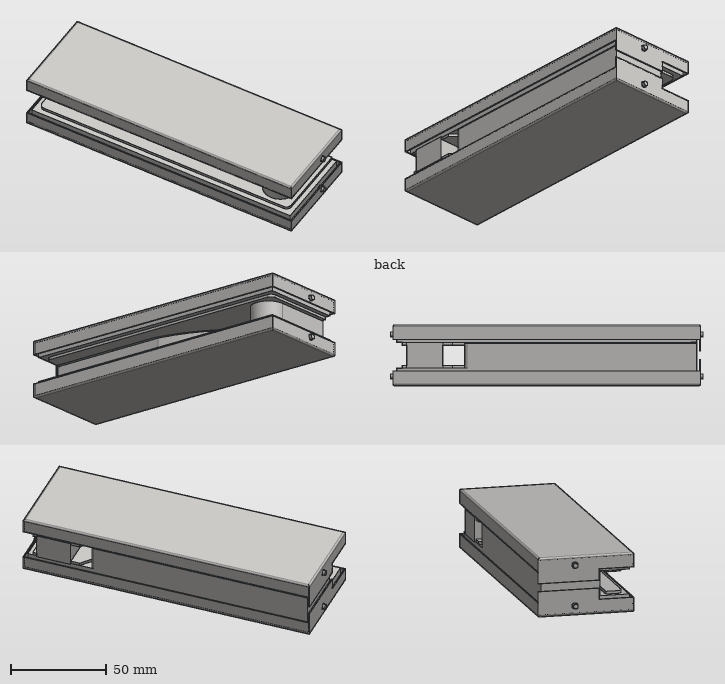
import cadquery as cq
import math

length = 164.2
width = 52.0
height = 32.0

screw_projection = 1.3
cover_length = length - 2 * screw_projection
lip_z = 8.2
wall = 0.7
skin = 1.3
edge_radius = 1.0
tab_z = 2.1
tab_front_y = -7.2

core_gap = 2.0
plate_z = 6.7
core_half_length = cover_length / 2 - core_gap
core_front_y = -width / 2 + core_gap
core_back_y = -core_front_y
plate_outer_z = height / 2 - skin

block_top_z = 6.2
block_front_y = -8.0
arc_start_x = -11.2
arc_radius = 88.8
arc_start_angle = 8.7
tip_radius = 1.3

finger_x = 64.0
finger_y = -9.0
finger_radius = 9.5
finger_back_y = 25.0

gasket_z = 5.3
gasket_half_length = 76.0
gasket_front_y = -21.0
gasket_rear_y = -12.0
gasket_corner_radius = 3.0

screw_radius = 1.3
screw_length = 9.9
screw_y = 5.9
screw_z = 11.0
screw_hole_radius = 1.6

arc_x = arc_start_x - arc_radius * math.sin(math.radians(arc_start_angle))
arc_y = block_front_y + arc_radius * math.cos(math.radians(arc_start_angle))


def box(x0, x1, y0, y1, z0, z1):
    """Box given by its limits along each axis."""
    return cq.Workplane("XY").box(x1 - x0, y1 - y0, z1 - z0, centered=False).translate((x0, y0, z0))


def arc_point_at_y(radius, y):
    """Point at height y on the right-hand lower side of a circle about the arc centre."""
    return (arc_x + math.sqrt(radius ** 2 - (y - arc_y) ** 2), y)


def arc_middle(radius, start, end):
    """Point halfway along the arc about the arc centre between two points on it."""
    angles = [math.atan2(p[1] - arc_y, p[0] - arc_x) for p in (start, end)]
    middle = sum(angles) / 2
    return (arc_x + radius * math.cos(middle), arc_y + radius * math.sin(middle))


def mirrored(body):
    """Same body on the other side of mid-height."""
    return body.mirror("XY")


def make_upper_cover():
    half = cover_length / 2
    cap = box(-half, half, -width / 2, width / 2, lip_z, height / 2)
    cap = cap.faces(">Z").edges().fillet(edge_radius)
    tab = box(-half, -half + wall, tab_front_y, width / 2, tab_z, lip_z)
    pocket = box(-half + wall, half - wall, -width / 2 + wall, width / 2 - wall, lip_z, plate_outer_z)
    return cap.cut(pocket).union(tab)


def make_finger(z0, z1):
    nose = cq.Workplane("XY").circle(finger_radius).extrude(z1 - z0).translate((finger_x, finger_y, z0))
    shank = box(finger_x - finger_radius, finger_x + finger_radius, finger_y, finger_back_y, z0, z1)
    return nose.union(shank)


def make_block():
    start = (arc_start_x, block_front_y)
    end = arc_point_at_y(arc_radius, core_back_y)
    block = (
        cq.Workplane("XY")
        .moveTo(-core_half_length, block_front_y)
        .lineTo(*start)
        .threePointArc(arc_middle(arc_radius, start, end), end)
        .lineTo(-core_half_length, core_back_y)
        .close()
        .extrude(block_top_z + plate_z)
        .translate((0, 0, -plate_z))
    )
    return block.edges("|Z and >X").fillet(tip_radius)


def make_upper_plate():
    return box(-core_half_length, core_half_length, core_front_y, core_back_y, plate_z, plate_outer_z)


def make_core():
    plate = make_upper_plate()
    return mirrored(plate).union(plate).union(make_block()).union(make_finger(-plate_z, plate_z))


def make_upper_gasket():
    offset_radius = arc_radius + block_front_y - gasket_rear_y
    start = arc_point_at_y(offset_radius, gasket_rear_y)
    end = arc_point_at_y(offset_radius, core_back_y)
    pad = (
        cq.Workplane("XY")
        .moveTo(-gasket_half_length, gasket_front_y)
        .lineTo(gasket_half_length, gasket_front_y)
        .lineTo(gasket_half_length, core_back_y)
        .lineTo(*end)
        .threePointArc(arc_middle(offset_radius, end, start), start)
        .lineTo(-gasket_half_length, gasket_rear_y)
        .close()
        .extrude(plate_z - gasket_z)
        .translate((0, 0, gasket_z))
    )
    pad = pad.edges("|Z and <Y").fillet(gasket_corner_radius)
    return pad.cut(make_finger(gasket_z, plate_z))


def make_end_rod(side, level, radius):
    """Round rod from one end (side = -1 or 1) inwards, at the upper or lower level (level = 1 or -1)."""
    rod = cq.Workplane("YZ").circle(radius).extrude(-side * screw_length)
    return rod.translate((side * length / 2, screw_y, level * screw_z))


upper_cover = make_upper_cover()
core = make_core()
screws = []
for side in (-1, 1):
    upper_cover = upper_cover.cut(make_end_rod(side, 1, screw_hole_radius))
    for level in (-1, 1):
        screw = make_end_rod(side, level, screw_radius)
        core = core.cut(screw)
        screws.append(screw)
lower_cover = mirrored(upper_cover)
upper_gasket = make_upper_gasket()
lower_gasket = mirrored(upper_gasket)

result = cq.Compound.makeCompound([
    upper_cover.val(),
    lower_cover.val(),
    core.val(),
    upper_gasket.val(),
    lower_gasket.val(),
    *[screw.val() for screw in screws],
])